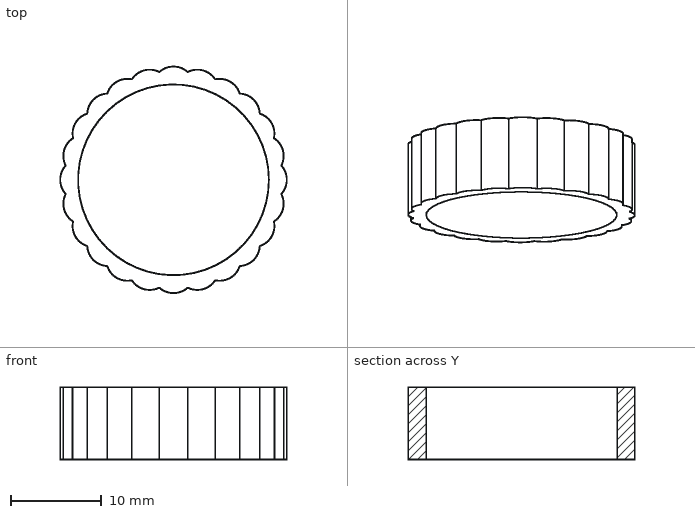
import cadquery as cq
import math

outer_radius = 12.5
cusp_radius = 12.0
bore_radius = 10.5
height = 8.0
lobe_count = 24

pitch = 2 * math.pi / lobe_count


def polar(radius, angle):
    return (radius * math.cos(angle), radius * math.sin(angle))


def scalloped_outline():
    """Closed ring of convex arcs, with one crest on the +X axis."""
    outline = cq.Workplane("XY").moveTo(*polar(cusp_radius, -pitch / 2))
    for lobe in range(lobe_count):
        crest_angle = lobe * pitch
        outline = outline.threePointArc(
            polar(outer_radius, crest_angle),
            polar(cusp_radius, crest_angle + pitch / 2),
        )
    return outline.close()


body = scalloped_outline().extrude(height)
bore = cq.Workplane("XY").circle(bore_radius).extrude(height)
result = body.cut(bore)